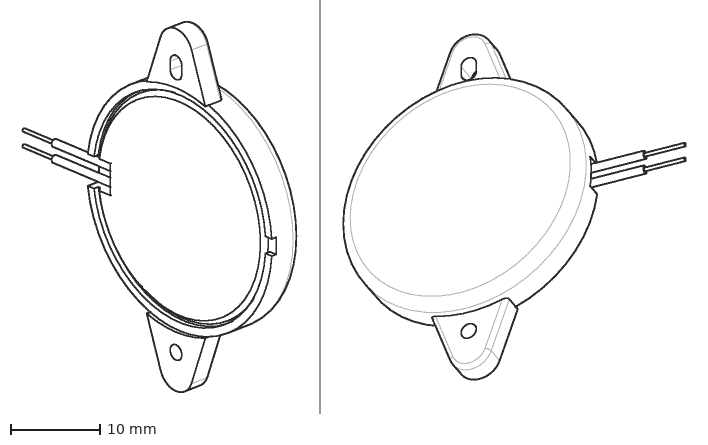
import cadquery as cq
import math

CASE_RADIUS = 15.0
CASE_FRONT = 0.55
CASE_BACK = 5.1
CASE_FILLET = 1.35

RIM_INNER_RADIUS = 13.97
PLATE_BASE_RADIUS = 13.7
PLATE_FACE_RADIUS = 13.13
GROOVE_DEPTH = 0.65
NOTCH_WIDTH = 2.1

LUG_REACH = 22.25
LUG_TIP_RADIUS = 2.65
LUG_ROOT_HALF_WIDTH = 4.75
LUG_THICKNESS = 2.85
LUG_FILLET = 0.55
HOLE_DISTANCE = 17.5
HOLE_DIAMETER = 1.85
SLOT_LENGTH = 2.95

CHANNEL_WIDTH = 3.9
CHANNEL_DEPTH = 1.85
CHANNEL_END_X = -11.15
WIRE_SPACING = 1.95
WIRE_DEPTH = 1.0
INSULATION_RADIUS = 0.5
INSULATION_END_X = -21.23
CORE_RADIUS = 0.22
CORE_END_X = -26.2


def front_plane(y):
    """Sketch plane facing -Y: local x is X, local y is Z."""
    return cq.Workplane("XZ", origin=(0, y, 0))


def make_case():
    """Revolve the half section, including the groove around the plate."""
    groove_floor = CASE_FRONT + GROOVE_DEPTH
    body = (
        cq.Workplane("XY")
        .moveTo(0, CASE_FRONT)
        .lineTo(PLATE_FACE_RADIUS, CASE_FRONT)
        .lineTo(PLATE_BASE_RADIUS, groove_floor)
        .lineTo(RIM_INNER_RADIUS, groove_floor)
        .lineTo(RIM_INNER_RADIUS, CASE_FRONT)
        .lineTo(CASE_RADIUS, CASE_FRONT)
        .lineTo(CASE_RADIUS, CASE_BACK)
        .lineTo(0, CASE_BACK)
        .close()
        .revolve(360, (0, 0, 0), (0, 1, 0))
    )
    return body.faces(">Y").edges().fillet(CASE_FILLET)


def make_lug():
    """Upper lug: straight flanks tangent to a round tip, ending at the case wall."""
    tip_center = LUG_REACH - LUG_TIP_RADIUS
    root_z = math.sqrt(CASE_RADIUS**2 - LUG_ROOT_HALF_WIDTH**2)
    root_angle = math.atan2(root_z - tip_center, LUG_ROOT_HALF_WIDTH)
    root_distance = math.hypot(LUG_ROOT_HALF_WIDTH, root_z - tip_center)
    tangent_angle = root_angle + math.acos(LUG_TIP_RADIUS / root_distance)
    tangent_x = LUG_TIP_RADIUS * math.cos(tangent_angle)
    tangent_z = tip_center + LUG_TIP_RADIUS * math.sin(tangent_angle)
    lug = (
        front_plane(LUG_THICKNESS)
        .moveTo(-LUG_ROOT_HALF_WIDTH, root_z)
        .lineTo(-tangent_x, tangent_z)
        .threePointArc((0, LUG_REACH), (tangent_x, tangent_z))
        .lineTo(LUG_ROOT_HALF_WIDTH, root_z)
        .threePointArc((0, CASE_RADIUS), (-LUG_ROOT_HALF_WIDTH, root_z))
        .close()
        .extrude(LUG_THICKNESS)
    )
    tip_side = cq.selectors.BoxSelector(
        (-LUG_ROOT_HALF_WIDTH, LUG_THICKNESS - LUG_FILLET, root_z + LUG_FILLET),
        (LUG_ROOT_HALF_WIDTH, LUG_THICKNESS + LUG_FILLET, LUG_REACH + LUG_FILLET),
    )
    root_edge = cq.selectors.RadiusNthSelector(-1)
    return lug.faces(">Y").edges(tip_side - root_edge).fillet(LUG_FILLET)


def make_wire(z):
    """Insulated lead with a bare core at its end, running toward -X."""
    start = cq.Workplane("YZ", origin=(CHANNEL_END_X, CASE_FRONT + WIRE_DEPTH, z))
    insulation = start.circle(INSULATION_RADIUS).extrude(INSULATION_END_X - CHANNEL_END_X)
    core = start.circle(CORE_RADIUS).extrude(CORE_END_X - CHANNEL_END_X)
    return insulation.union(core)


def front_cut(x_start, x_end, width, depth):
    """Rectangular cutter entering the front of the case, centered on Z = 0."""
    return (
        cq.Workplane("XY")
        .box(x_end - x_start, depth, width, centered=(False, False, True))
        .translate((x_start, CASE_FRONT, 0))
    )


result = make_case()
result = result.cut(front_cut(-CASE_RADIUS, CHANNEL_END_X, CHANNEL_WIDTH, CHANNEL_DEPTH))
result = result.cut(front_cut(PLATE_BASE_RADIUS, CASE_RADIUS, NOTCH_WIDTH, GROOVE_DEPTH))

upper_lug = make_lug()
result = result.union(upper_lug).union(upper_lug.mirror("XY"))
upper_hole = front_plane(LUG_THICKNESS).center(0, HOLE_DISTANCE).slot2D(SLOT_LENGTH, HOLE_DIAMETER, 90)
lower_hole = front_plane(LUG_THICKNESS).center(0, -HOLE_DISTANCE).circle(HOLE_DIAMETER / 2)
for hole in (upper_hole, lower_hole):
    result = result.cut(hole.extrude(LUG_THICKNESS))

for side in (-1, 1):
    result = result.union(make_wire(side * WIRE_SPACING / 2))